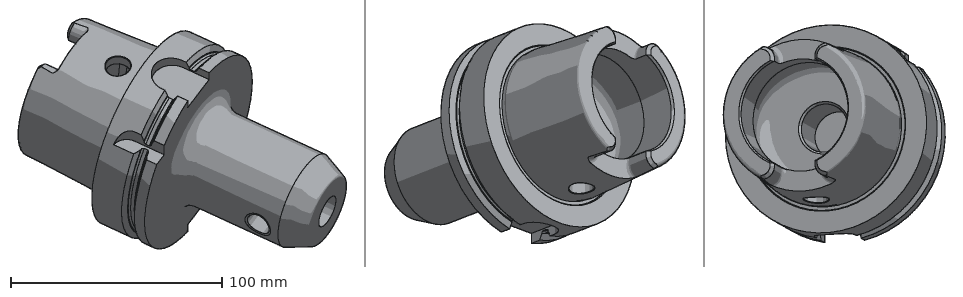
import cadquery as cq
import math

total_length = 150.0
flange_start = 50.0
flange_end = 79.0
nose_cone_start = 137.1

taper_end = 47.4
taper_small_radius = 35.4
taper_slope = 0.05
shank_end_fillet = 1.8
relief_radius = 37.5
relief_lead = 1.0
face_recess_radius = 39.6
face_recess_depth = 0.5

flange_diameter = 100.0
flange_radius = flange_diameter / 2
groove_center = 69.9
groove_top_width = 7.0
groove_slot_width = 3.9
groove_bottom_width = 2.0
groove_shoulder_radius = 47.1
groove_corner_radius = 46.5
groove_bottom_radius = 45.9

nose_radius = 24.2
nose_fillet = 9.8
nose_tip_radius = 18.3
nose_tip_fillet = 1.5

entry_radius = 26.5
entry_chamfer = 0.8
entry_chamfer_length = 1.4
entry_length = 19.8
chamber_radius = 31.5
chamber_cone_length = 1.5
cavity_floor = 46.8
cavity_floor_fillet = 6.8
pilot_radius = 11.5
pilot_chamfer = 1.0
pilot_end = 69.0

slot_half_width = 10.0
slot_flare_radius = 6.0
slot_flare_height = 32.0
slot_floor_fillet = 2.2
slot_mouth_chamfer = 1.6
upper_slot_depth = 10.0
lower_slot_depth = 15.0

shank_hole_x = 34.8
shank_hole_radius = 6.0
shank_hole_chamfer = 0.3

keyway_half_width = 9.9
keyway_start = 54.8
keyway_floor = 44.0
notch_floor = 31.6
notch_wall = 31.8
notch_radius = 7.5
notch_start = 55.4

tool_bore_radius = 8.0
tool_bore_length = 48.0
screw_x = 126.0
screw_radius = 6.0
screw_chamfer_depth = 0.5
screw_chamfer_width = 1.0


def turned(points):
    """Solid of revolution about X from (x, radius) points; the axis closes the outline."""
    axis_start = (points[0][0], 0)
    axis_end = (points[-1][0], 0)
    outline = cq.Workplane("XY").polyline([axis_start, *points, axis_end]).close()
    return outline.revolve(360, (0, 0, 0), (1, 0, 0))


def shank():
    taper_end_radius = taper_small_radius + taper_slope * taper_end
    recess_floor = flange_start + face_recess_depth
    body = turned([
        (0, taper_small_radius),
        (taper_end, taper_end_radius),
        (taper_end + relief_lead, relief_radius),
        (recess_floor, relief_radius),
    ])
    return with_shank_hole(body.faces("<X").edges().fillet(shank_end_fillet))


def with_shank_hole(body):
    """Cuts the hole across the whole shank and chamfers its mouth on both sides."""
    center = cq.Workplane("XY", origin=(shank_hole_x, 0, 0))
    body = body.cut(center.circle(shank_hole_radius).extrude(flange_radius, both=True))
    for side in (1, -1):
        mouth = (shank_hole_x + shank_hole_radius, 0, side * taper_small_radius)
        body = body.edges(cq.selectors.NearestToPointSelector(mouth)).chamfer(shank_hole_chamfer)
    return body


def flange():
    def across(width):
        return groove_center - width / 2, groove_center + width / 2

    top_left, top_right = across(groove_top_width)
    side_left, side_right = across(groove_slot_width)
    bottom_left, bottom_right = across(groove_bottom_width)
    recess_floor = flange_start + face_recess_depth
    return turned([
        (recess_floor, face_recess_radius - face_recess_depth),
        (flange_start, face_recess_radius),
        (flange_start, flange_radius),
        (top_left, flange_radius),
        (side_left, groove_shoulder_radius),
        (side_left, groove_corner_radius),
        (bottom_left, groove_bottom_radius),
        (bottom_right, groove_bottom_radius),
        (side_right, groove_corner_radius),
        (side_right, groove_shoulder_radius),
        (top_right, flange_radius),
        (flange_end, flange_radius),
    ])


def nose():
    fillet_start_radius = nose_radius + nose_fillet
    fillet_middle = nose_fillet * (1 - math.sqrt(0.5))
    outline = (
        cq.Workplane("XY")
        .moveTo(flange_end, 0)
        .lineTo(flange_end, fillet_start_radius)
        .threePointArc(
            (flange_end + fillet_middle, nose_radius + fillet_middle),
            (flange_end + nose_fillet, nose_radius),
        )
        .lineTo(nose_cone_start, nose_radius)
        .lineTo(total_length, nose_tip_radius)
        .lineTo(total_length, 0)
        .close()
    )
    body = outline.revolve(360, (0, 0, 0), (1, 0, 0))
    body = body.faces(">X").edges().fillet(nose_tip_fillet)
    return with_screw_hole(body)


def with_screw_hole(body):
    """Cuts the clamping screw hole from the -Y side to the axis and chamfers its mouth."""
    center = cq.Workplane("XZ", origin=(screw_x, 0, 0))
    body = body.cut(center.circle(screw_radius).extrude(nose_radius))
    mouth = (screw_x + screw_radius, -nose_radius, 0)
    mouth_edge = body.edges(cq.selectors.NearestToPointSelector(mouth))
    return mouth_edge.chamfer(screw_chamfer_width, screw_chamfer_depth)


def cavity():
    entry = turned([
        (0, entry_radius + entry_chamfer),
        (entry_chamfer_length, entry_radius),
        (entry_length, entry_radius),
    ])
    chamber = turned([
        (entry_length, entry_radius),
        (entry_length + chamber_cone_length, chamber_radius),
        (cavity_floor, chamber_radius),
    ])
    chamber = chamber.faces(">X").edges().fillet(cavity_floor_fillet)
    pilot = turned([
        (cavity_floor, pilot_radius + pilot_chamfer),
        (cavity_floor + pilot_chamfer, pilot_radius),
        (pilot_end, pilot_radius),
    ])
    return entry.union(chamber).union(pilot)


def slot_outline(plane_x):
    """Slot section at the given X: open through the bore, flaring out to a flat near the skin."""
    flare_half_width = slot_half_width + slot_flare_radius
    flare_start = slot_flare_height - slot_flare_radius
    flare_middle = slot_flare_radius * math.sqrt(0.5)
    outside = flange_radius
    return (
        cq.Workplane("YZ", origin=(plane_x, 0, 0))
        .moveTo(-slot_half_width, 0)
        .lineTo(-slot_half_width, flare_start)
        .threePointArc(
            (-flare_half_width + flare_middle, flare_start + flare_middle),
            (-flare_half_width, slot_flare_height),
        )
        .lineTo(-outside, slot_flare_height)
        .lineTo(-outside, outside)
        .lineTo(outside, outside)
        .lineTo(outside, slot_flare_height)
        .lineTo(flare_half_width, slot_flare_height)
        .threePointArc(
            (flare_half_width - flare_middle, flare_start + flare_middle),
            (slot_half_width, flare_start),
        )
        .lineTo(slot_half_width, 0)
        .close()
    )


def drive_slot(depth, side):
    """Drive slot cutter on the +Z (side = 1) or -Z (side = -1) half of the shank end."""
    channel = slot_outline(0).extrude(depth).faces(">X").edges().fillet(slot_floor_fillet)
    mouth = slot_outline(slot_mouth_chamfer).extrude(-slot_mouth_chamfer, taper=-45)
    cutter = channel.union(mouth)
    return cutter if side > 0 else cutter.rotate((0, 0, 0), (1, 0, 0), 180)


def keyway(side):
    """Round-ended keyway on the +Z (side = 1) or -Z (side = -1) face of the flange."""
    end_center_x = keyway_start + keyway_half_width
    outline = (
        cq.Workplane("XY", origin=(0, 0, side * keyway_floor))
        .moveTo(flange_end, keyway_half_width)
        .lineTo(end_center_x, keyway_half_width)
        .threePointArc((keyway_start, 0), (end_center_x, -keyway_half_width))
        .lineTo(flange_end, -keyway_half_width)
        .close()
    )
    return outline.extrude(side * (flange_radius - keyway_floor))


def corner_notch():
    """Notch on the -Y, +Z corner of the flange, with one quarter-round end."""
    floor = cq.Workplane("XY", origin=(0, 0, notch_floor))
    outline = (
        floor.moveTo(flange_end, -notch_wall)
        .lineTo(notch_start + notch_radius, -notch_wall)
        .radiusArc((notch_start, -notch_wall - notch_radius), -notch_radius)
        .lineTo(notch_start, -flange_radius)
        .lineTo(flange_end, -flange_radius)
        .close()
    )
    return outline.extrude(flange_radius - notch_floor)


def tool_bore():
    plane = cq.Workplane("YZ", origin=(total_length, 0, 0))
    return plane.circle(tool_bore_radius).extrude(-tool_bore_length)


result = shank().union(flange()).union(nose())
result = result.cut(cavity())
result = result.cut(drive_slot(upper_slot_depth, 1)).cut(drive_slot(lower_slot_depth, -1))
result = result.cut(keyway(1)).cut(keyway(-1)).cut(corner_notch())
result = result.cut(tool_bore())